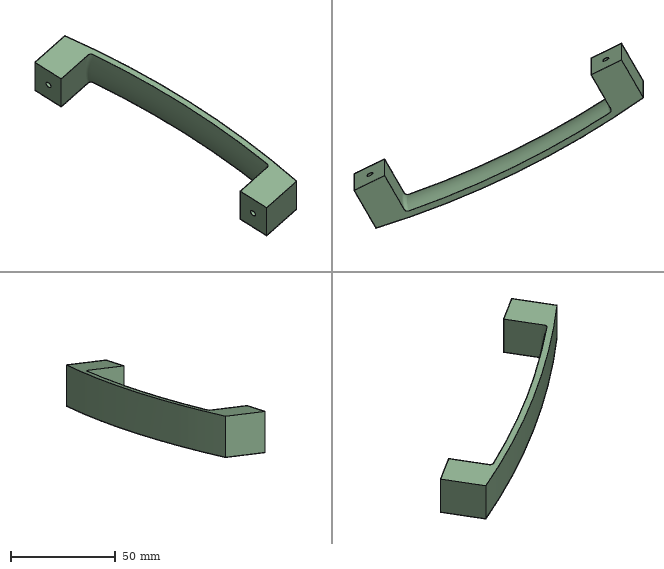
import cadquery as cq
import math

length = 145.6
depth = 28.4
height = 20.2

bow_rise = 6.0
edge_thickness = 3.2
crown = 1.6
fillet_radius = 1.7

foot_width = 16.6
hole_inset = 8.6
hole_diameter = 3.0
hole_depth = 14.5
drill_tip_angle = 118.0

half_length = length / 2
half_height = height / 2
opening_width = length - 2 * foot_width
back_radius = (half_length**2 + bow_rise**2) / (2 * bow_rise)
arc_center_y = depth - back_radius


def make_blank():
    """Full-depth block with a flat front and a bowed back."""
    return (
        cq.Workplane("XY")
        .workplane(offset=-half_height)
        .moveTo(-half_length, 0)
        .lineTo(half_length, 0)
        .lineTo(half_length, depth - bow_rise)
        .threePointArc((0, depth), (-half_length, depth - bow_rise))
        .close()
        .extrude(height)
    )


def make_opening():
    """Space between the feet, hollowed along the crowned inner face of the grip."""
    edge_y = depth - edge_thickness
    block = cq.Workplane("XY").box(opening_width, depth, height, centered=(True, False, True))
    grip = (
        cq.Workplane("YZ")
        .moveTo(edge_y, -half_height)
        .threePointArc((edge_y - crown, 0), (edge_y, half_height))
        .lineTo(2 * depth, half_height)
        .lineTo(2 * depth, -half_height)
        .close()
        .revolve(360, (arc_center_y, 0, 0), (arc_center_y, 1, 0))
    )
    return block.cut(grip)


def make_screw_hole(x):
    """Blind hole with a conical drill tip, entering the front of a foot."""
    radius = hole_diameter / 2
    tip_length = radius / math.tan(math.radians(drill_tip_angle / 2))
    return (
        cq.Workplane("XY")
        .moveTo(x, 0)
        .lineTo(x + radius, 0)
        .lineTo(x + radius, hole_depth)
        .lineTo(x, hole_depth + tip_length)
        .close()
        .revolve(360, (x, 0, 0), (x, 1, 0))
    )


opening = make_opening()
opening = opening.faces("<X or >X").edges(">Y").fillet(fillet_radius)

result = make_blank().cut(opening)
for side in (-1, 1):
    result = result.cut(make_screw_hole(side * (half_length - hole_inset)))